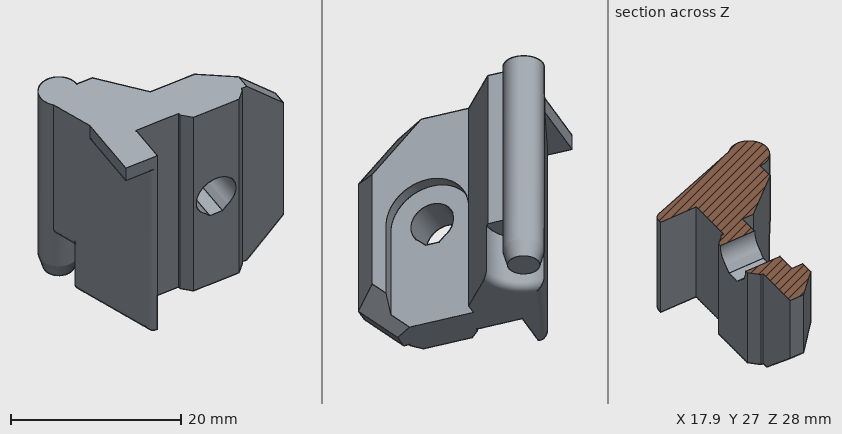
import cadquery as cq
import math

height = 28.0
pin_radius = 2.45
tip_radius = 1.9
tip_height = 2.0

plate_front_x = 5.5
plate_back_x = 10.4
plate_end_y = 24.5
plate_corner_cut = 5.0
plate_bevel = 3.0

web_left_x = 0.0
web_left_y = 4.55
web_plate_y = 9.25

wing_end_x = 15.4
wing_front_y = 0.17
wing_back_y = 4.45
slope_start_x = 6.95
slope_angle = 20.0
lip_height = 2.0
edge_radius = 1.0

clearance_radius = 4.85
clearance_height = 7.0

hole_y = 14.5
hole_z = height / 2
hole_radius = 2.7
hole_flat_drop = 2.9
hole_flank_distance = 2.66
recess_radius = 5.25
recess_depth = 1.5
rail_width = 8.5
rail_depth = 1.45
rail_bevel = 1.15


def slope_y(x):
    """Y of the sloped front face at a given X."""
    return wing_front_y + (x - slope_start_x) * math.tan(math.radians(slope_angle))


def make_plate():
    """Plate with two cut corners and a bevel round its free front edges."""
    plate = (
        cq.Workplane("YZ", origin=(plate_front_x, 0, 0))
        .moveTo(wing_back_y, 0)
        .lineTo(plate_end_y - plate_corner_cut, 0)
        .lineTo(plate_end_y, plate_corner_cut)
        .lineTo(plate_end_y, height - plate_corner_cut)
        .lineTo(plate_end_y - plate_corner_cut, height)
        .lineTo(wing_back_y, height)
        .close()
        .extrude(plate_back_x - plate_front_x)
    )
    margin = 0.1
    beveled_edges = cq.selectors.BoxSelector(
        (plate_front_x - margin, plate_end_y - plate_corner_cut, -margin),
        (plate_front_x + margin, plate_end_y + margin, height + margin),
    )
    return plate.edges(beveled_edges).chamfer(plate_bevel)


def make_web_and_wing():
    """Web and wing behind the sloped face, with the pin clearance and rounded edges."""
    body = (
        cq.Workplane("XY")
        .moveTo(web_left_x, slope_y(web_left_x))
        .lineTo(wing_end_x, slope_y(wing_end_x))
        .lineTo(wing_end_x, wing_back_y)
        .lineTo(plate_back_x, wing_back_y)
        .lineTo(plate_back_x, web_plate_y)
        .lineTo(plate_front_x, web_plate_y)
        .lineTo(web_left_x, web_left_y)
        .close()
        .extrude(height)
    )
    clearance = cq.Workplane("XY").circle(clearance_radius).extrude(clearance_height)
    body = body.cut(clearance)

    slope_normal = cq.Vector(
        math.sin(math.radians(slope_angle)), -math.cos(math.radians(slope_angle)), 0
    )
    slope_face = max(body.faces().vals(), key=lambda face: face.normalAt().dot(slope_normal))
    wall_face = body.faces("%CYLINDER").val()
    tolerance = 0.01

    def is_rounded(edge):
        center = edge.Center()
        on_bottom = abs(center.z) < tolerance
        on_ceiling = abs(center.z - clearance_height) < tolerance
        on_end = abs(center.x - wing_end_x) < tolerance
        return on_bottom or on_ceiling or on_end

    rounded = [edge for edge in slope_face.Edges() if is_rounded(edge)]
    rounded += [edge for edge in wall_face.Edges() if abs(edge.Center().z) < tolerance]
    return body.newObject(rounded).fillet(edge_radius)


def make_lip():
    """Thicker front edge of the wing at the top."""
    return (
        cq.Workplane("XY", origin=(0, 0, height - lip_height))
        .moveTo(slope_start_x, wing_front_y)
        .lineTo(wing_end_x, wing_front_y)
        .lineTo(wing_end_x, wing_back_y)
        .lineTo(slope_start_x, wing_back_y)
        .close()
        .extrude(lip_height)
    )


def make_pin():
    """Round pin with a tapered tip."""
    return (
        cq.Workplane("XZ")
        .lineTo(tip_radius, 0)
        .lineTo(pin_radius, tip_height)
        .lineTo(pin_radius, height)
        .lineTo(0, height)
        .close()
        .revolve(360, (0, 0), (0, 1))
    )


def make_rail():
    """Full-height bevelled rail on the back of the plate."""
    half_width = rail_width / 2
    rail_x = plate_back_x + rail_depth
    return (
        cq.Workplane("XY")
        .moveTo(plate_back_x, hole_y - half_width)
        .lineTo(rail_x - rail_bevel, hole_y - half_width)
        .lineTo(rail_x, hole_y - half_width + rail_bevel)
        .lineTo(rail_x, hole_y + half_width - rail_bevel)
        .lineTo(rail_x - rail_bevel, hole_y + half_width)
        .lineTo(plate_back_x, hole_y + half_width)
        .close()
        .extrude(height)
    )


def make_recess():
    """U-shaped recess in the plate front, open at the bottom."""
    return (
        cq.Workplane("YZ", origin=(plate_front_x, 0, 0))
        .moveTo(hole_y - recess_radius, 0)
        .lineTo(hole_y - recess_radius, hole_z)
        .threePointArc((hole_y, hole_z + recess_radius), (hole_y + recess_radius, hole_z))
        .lineTo(hole_y + recess_radius, 0)
        .close()
        .extrude(recess_depth)
    )


def make_hole():
    """Through hole with 45 degree lower sides that end in a flat."""
    flank_angle = math.radians(45) - math.acos(hole_flank_distance / hole_radius)
    flank_y = hole_radius * math.sin(flank_angle)
    flank_z = hole_z - hole_radius * math.cos(flank_angle)
    flat_half_width = hole_flank_distance * math.sqrt(2) - hole_flat_drop
    return (
        cq.Workplane("YZ", origin=(plate_front_x, 0, 0))
        .moveTo(hole_y - flat_half_width, hole_z - hole_flat_drop)
        .lineTo(hole_y - flank_y, flank_z)
        .threePointArc((hole_y, hole_z + hole_radius), (hole_y + flank_y, flank_z))
        .lineTo(hole_y + flat_half_width, hole_z - hole_flat_drop)
        .close()
        .extrude(plate_back_x + rail_depth - plate_front_x)
    )


result = (
    make_plate()
    .cut(make_recess())
    .union(make_web_and_wing())
    .union(make_lip())
    .union(make_rail())
    .cut(make_hole())
    .union(make_pin())
)